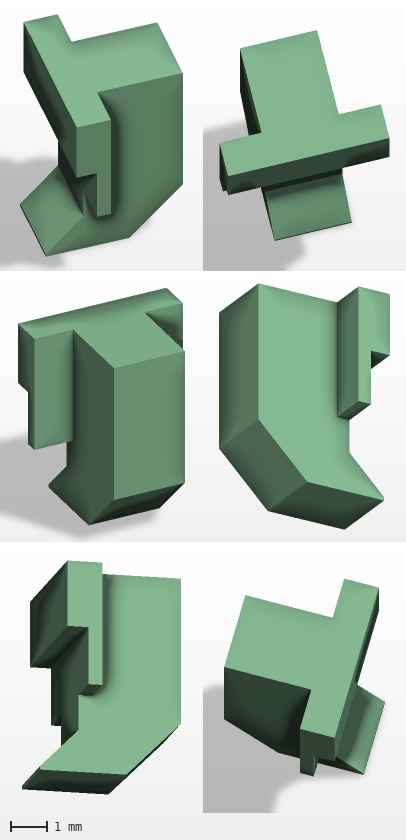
import cadquery as cq

height = 5.7
depth = 4.0
flange_width = 4.6
stem_width = 2.2

flange_back = 2.5
stem_front = 2.9
head_front = 3.5

flange_bottom = 2.2
head_bottom = 3.83
tip_height = 0.1

back_chamfer = 1.55
toe_reach = depth - stem_front
toe_top = tip_height + toe_reach


def extrude_profile(points, width):
    """Extrude a (Y, Z) outline symmetrically about the X = 0 plane."""
    return cq.Workplane("YZ").polyline(points).close().extrude(width / 2, both=True)


stem = extrude_profile(
    [
        (0, height),
        (0, back_chamfer),
        (-back_chamfer, 0),
        (-depth, 0),
        (-depth, tip_height),
        (-stem_front, toe_top),
        (-stem_front, height),
    ],
    stem_width,
)

flange = extrude_profile(
    [
        (-flange_back, height),
        (-flange_back, flange_bottom),
        (-stem_front, flange_bottom),
        (-stem_front, head_bottom),
        (-head_front, head_bottom),
        (-head_front, height),
    ],
    flange_width,
)

result = stem.union(flange)